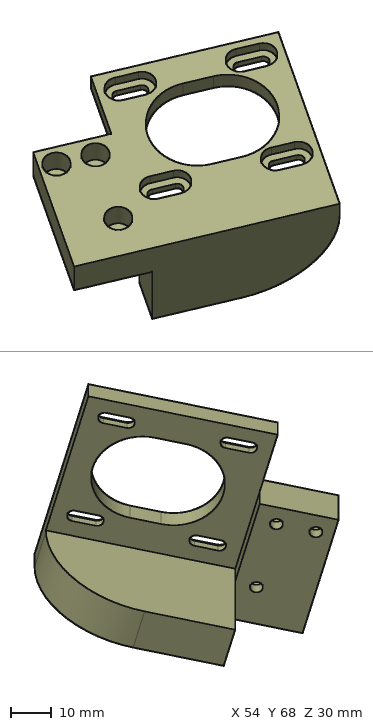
import cadquery as cq

length_x = 54.0
length_y = 68.0
height = 30.0
plate_thickness = 5.0

notch_x = 18.0
notch_y = 20.0
block_depth = 2 * plate_thickness

rib_width = 11.5
rib_corner_radius = height - plate_thickness

screw_diameter = 3.2
head_diameter = 7.0
screw_head_depth = 7.0

slot_travel = 6.0
slot_head_depth = 3.0
slot_pitch = 31.0
slot_center_x = 21.0
slot_center_y = 44.0

opening_width = 25.3
opening_length = 33.1
opening_center_y = 45.0

screw_inset_x = 5.0
screw_inset_y = 4.5
screw_pitch_x = 20.0
screw_pitch_y = 10.0


def box(x, y, z_bottom, size_x, size_y, size_z):
    """Box placed by its lowest corner."""
    return cq.Workplane("XY", origin=(x, y, z_bottom)).box(size_x, size_y, size_z, centered=False)


def slot_cut(points, width, travel, depth):
    """Slots along Y, cut downward from the top face."""
    return cq.Workplane("XY").pushPoints(points).slot2D(width + travel, width, 90).extrude(-depth)


def hole_cut(points, diameter, depth):
    """Round holes cut downward from the top face."""
    return cq.Workplane("XY").pushPoints(points).circle(diameter / 2).extrude(-depth)


plate = box(0, 0, -plate_thickness, length_x, length_y, plate_thickness)
plate = plate.cut(box(0, 0, -plate_thickness, notch_x, notch_y, plate_thickness))

block = box(notch_x, 0, -block_depth, length_x - notch_x, notch_y, block_depth)

rib = box(length_x - rib_width, notch_y, -height, rib_width, length_y - notch_y, height)
rib = rib.edges(">Y and <Z").fillet(rib_corner_radius)

body = plate.union(block).union(rib)

opening_travel = opening_length - opening_width
opening = slot_cut([(0, 0)], opening_width, opening_travel, plate_thickness)
body = body.cut(opening.translate((slot_center_x, opening_center_y, 0)))

slot_points = [
    (slot_center_x + side_x * slot_pitch / 2, slot_center_y + side_y * slot_pitch / 2)
    for side_x in (-1, 1)
    for side_y in (-1, 1)
]
body = body.cut(slot_cut(slot_points, screw_diameter, slot_travel, plate_thickness))
body = body.cut(slot_cut(slot_points, head_diameter, slot_travel, slot_head_depth))

corner_x = notch_x + screw_inset_x
screw_points = [
    (corner_x, screw_inset_y),
    (corner_x, screw_inset_y + screw_pitch_y),
    (corner_x + screw_pitch_x, screw_inset_y + screw_pitch_y),
]
body = body.cut(hole_cut(screw_points, screw_diameter, block_depth))
body = body.cut(hole_cut(screw_points, head_diameter, screw_head_depth))

result = body